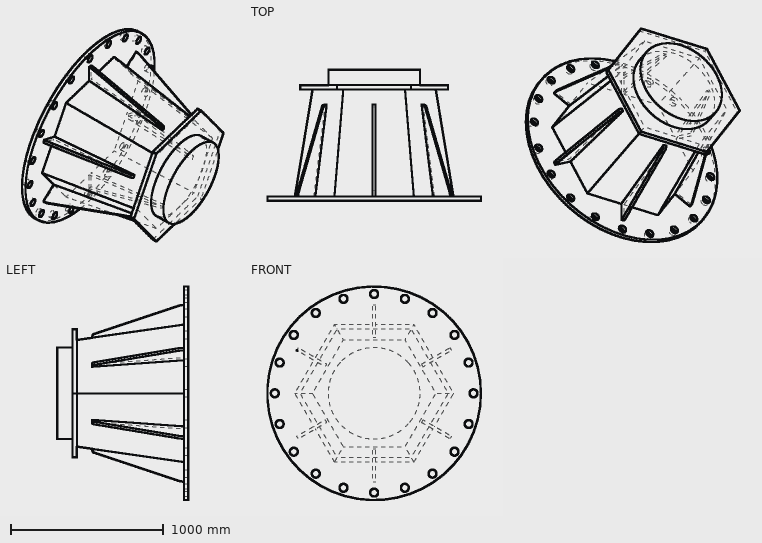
import cadquery as cq
import math

flange_thickness = 30.0
tower_length = 700.0
cap_thickness = 30.0
spigot_length = 101.0

flange_diameter = 1400.0
spigot_diameter = 600.0
bolt_count = 20
bolt_circle_diameter = 1300.0
bolt_hole_diameter = 50.0

tower_base_flats = 900.0
tower_tip_flats = 700.0
cap_flats = 840.0

side_count = 6
rib_thickness = 20.0
rib_length = 600.0
rib_base_height = 580.0
rib_shoulder_length = 38.0
rib_shoulder_drop = 7.0
rib_tip_height = 385.0
rib_tip_radius = 20.0
rib_root_depth = 70.0

tower_start = flange_thickness
cap_start = tower_start + tower_length
spigot_start = cap_start + cap_thickness
rib_end = tower_start + rib_length


def section_at(y):
    """Sketch plane across the axis at y, facing +Y."""
    return cq.Workplane(cq.Plane(origin=(0, y, 0), xDir=(1, 0, 0), normal=(0, 1, 0)))


def corner_diameter(flats):
    """Diameter of the circle through the corners of a hexagon."""
    return flats / math.cos(math.pi / side_count)


def make_flange():
    """Round base plate with a ring of bolt holes."""
    disc = section_at(0).circle(flange_diameter / 2).extrude(flange_thickness)
    holes = (
        section_at(0)
        .polarArray(bolt_circle_diameter / 2, 0, 360, bolt_count)
        .circle(bolt_hole_diameter / 2)
        .extrude(flange_thickness)
    )
    return disc.cut(holes)


def make_rib(angle):
    """Tapered rib with a rounded tip, turned about the axis from the +Z side."""
    slope_start = tower_start + rib_shoulder_length
    tower_tip_half = tower_tip_flats / 2
    tower_base_half = tower_base_flats / 2
    rib = (
        cq.Workplane("YZ")
        .moveTo(tower_start, tower_base_half - rib_root_depth)
        .lineTo(rib_end, tower_tip_half - rib_root_depth)
        .lineTo(rib_end, rib_tip_height)
        .lineTo(slope_start, rib_base_height - rib_shoulder_drop)
        .tangentArcPoint((tower_start, rib_base_height), relative=False)
        .close()
        .extrude(rib_thickness / 2, both=True)
    )
    rib = rib.edges(cq.selectors.NearestToPointSelector((0, rib_end, rib_tip_height)))
    rib = rib.fillet(rib_tip_radius)
    return rib.rotate((0, 0, 0), (0, 1, 0), angle)


def make_pedestal():
    """Hexagonal tapered tower with its ribs, hexagonal cap plate and round spigot."""
    pedestal = (
        section_at(tower_start)
        .polygon(side_count, corner_diameter(tower_base_flats))
        .workplane(offset=tower_length)
        .polygon(side_count, corner_diameter(tower_tip_flats))
        .loft(ruled=True)
    )
    cap = (
        section_at(cap_start)
        .polygon(side_count, corner_diameter(cap_flats))
        .extrude(cap_thickness)
    )
    spigot = section_at(spigot_start).circle(spigot_diameter / 2).extrude(spigot_length)
    pedestal = pedestal.union(cap).union(spigot)
    for side in range(side_count):
        pedestal = pedestal.union(make_rib(side * 360 / side_count))
    return pedestal


flange = make_flange()
pedestal = make_pedestal()
result = cq.Compound.makeCompound([flange.val(), pedestal.val()])